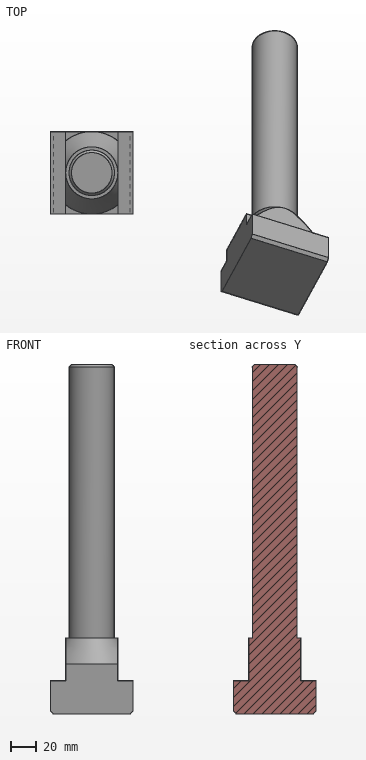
import cadquery as cq

total_height = 276.0
head_side = 65.0
head_height = 26.5
head_chamfer = 2.5
neck_width = 41.0
neck_top = 39.5
cone_top = 60.2
shank_diameter = 36.0
shank_chamfer = 2.0


def make_head():
    """Square head with its two lower edges along Y chamfered."""
    head = cq.Workplane("XY").box(head_side, head_side, head_height, centered=(True, True, False))
    return head.faces("<Z").edges("|Y").chamfer(head_chamfer)


def make_neck():
    """Narrow block above the head, carrying a cone trimmed to the block's width."""
    block = cq.Workplane("XY").box(neck_width, head_side, neck_top, centered=(True, True, False))
    cone = (
        cq.Workplane("XY", origin=(0, 0, neck_top))
        .circle(head_side / 2)
        .workplane(offset=cone_top - neck_top)
        .circle(neck_width / 2)
        .loft()
    )
    trim = cq.Workplane("XY").box(neck_width, head_side, cone_top, centered=(True, True, False))
    return block.union(cone.intersect(trim))


def make_shank():
    """Round shank rising from the neck, chamfered at its free end."""
    shank = (
        cq.Workplane("XY", origin=(0, 0, neck_top))
        .circle(shank_diameter / 2)
        .extrude(total_height - neck_top)
    )
    return shank.faces(">Z").chamfer(shank_chamfer)


result = make_head().union(make_neck()).union(make_shank())